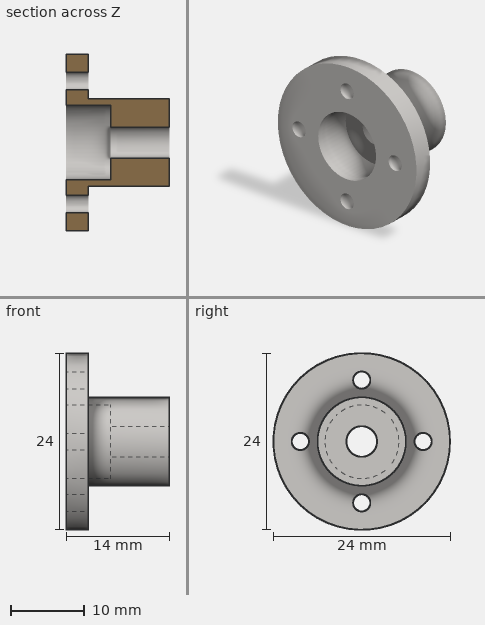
import cadquery as cq

total_length = 14.0
flange_diameter = 24.0
flange_thickness = 3.0
hub_diameter = 12.0

bore_diameter = 10.0
bore_depth = 6.0
through_diameter = 4.13

mount_hole_diameter = 2.3
mount_hole_count = 4
mount_circle_diameter = 16.65


def cylinder(diameter, length):
    """Solid cylinder running from the flange face along +X."""
    return cq.Workplane("YZ").circle(diameter / 2).extrude(length)


body = cylinder(flange_diameter, flange_thickness).union(cylinder(hub_diameter, total_length))

mount_holes = (
    cq.Workplane("YZ")
    .polarArray(mount_circle_diameter / 2, 0, 360, mount_hole_count)
    .circle(mount_hole_diameter / 2)
    .extrude(flange_thickness)
)

result = (
    body.cut(cylinder(bore_diameter, bore_depth))
    .cut(cylinder(through_diameter, total_length))
    .cut(mount_holes)
)